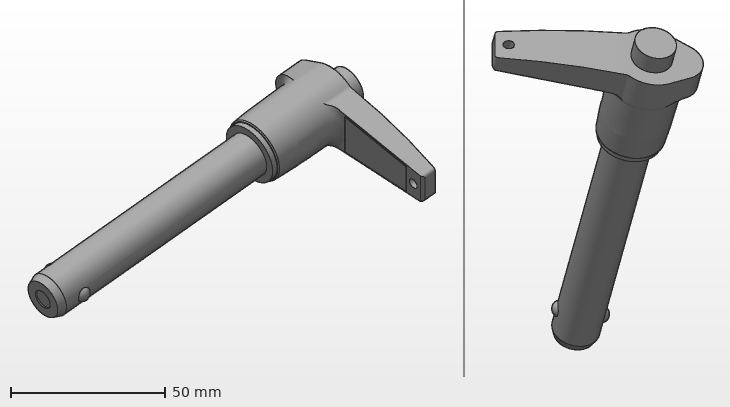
import cadquery as cq
import math


length = 139.0
button_height = 6.8
lever_thickness = 9.6
flare_height = 2.9
lever_back = length - button_height
lever_front = lever_back - lever_thickness
collar_back = lever_front - flare_height
collar_middle = 105.4
collar_front = 95.9
washer_front = 94.0

button_diameter = 13.8
shaft_diameter = 16.0
tip_diameter = 13.8
tip_chamfer_length = 2.9
spindle_diameter = 6.8
spindle_recess = 0.5
washer_diameter = 21.5
hub_radius = 12.3
collar_back_radius = 12.16
collar_middle_radius = 12.0
collar_front_radius = 11.5
collar_chamfer = 0.4
collar_bulge = 0.07
flare_radius = collar_back_radius + flare_height

ball_radius = 2.9
ball_span = 19.0
ball_station = 11.0

nose_radius = 7.8
nose_reach = 17.1
arm_reach = 51.2
arm_root_x = 7.0
arm_root_half_width = 9.52
arm_tip_half_width = 5.8
arm_root_fillet = 3.2
arm_corner_fillet = 1.3
arm_tip_chamfer = 1.1
arm_curve_start = 8.8
arm_curve_radius = 236.3
pad_start = 15.3
pad_end = 43.6
pad_margin = 0.5
pad_height = 0.35
keyring_hole_diameter = 3.6
keyring_hole_x = 46.7


def cylinder(diameter, start, end):
    """Cylinder on the pin axis between two Y stations."""
    return cq.Workplane("XZ", origin=(0, start, 0)).circle(diameter / 2).extrude(start - end)


def arm_half_width(x):
    """Half the width of the tapered arm at a place along it."""
    share = (x - arm_root_x) / (arm_reach - arm_root_x)
    return arm_root_half_width + share * (arm_tip_half_width - arm_root_half_width)


def arm_plate(start_x, end_x, margin, front, back):
    """Tapered plate that follows the arm sides, set in by a margin."""
    start_half = arm_half_width(start_x) - margin
    end_half = arm_half_width(end_x) - margin
    corners = [(start_x, -start_half), (end_x, -end_half), (end_x, end_half), (start_x, start_half)]
    return cq.Workplane("XZ", origin=(0, front, 0)).polyline(corners).close().extrude(front - back)


def hub_plate(front, back):
    """Round hub running tangentially into a smaller round nose."""
    nose_x = nose_radius - nose_reach
    tangent_cos = (hub_radius - nose_radius) / -nose_x
    tangent_sin = math.sqrt(1 - tangent_cos**2)
    hub_x = -hub_radius * tangent_cos
    hub_z = hub_radius * tangent_sin
    nose_tangent_x = nose_x - nose_radius * tangent_cos
    nose_tangent_z = nose_radius * tangent_sin
    return (
        cq.Workplane("XZ", origin=(0, front, 0))
        .moveTo(hub_x, hub_z)
        .threePointArc((hub_radius, 0), (hub_x, -hub_z))
        .lineTo(nose_tangent_x, -nose_tangent_z)
        .threePointArc((-nose_reach, 0), (nose_tangent_x, nose_tangent_z))
        .close()
        .extrude(front - back)
    )


def lever_blank():
    """Hub, nose and arm at full depth, with rounded arm corners."""
    arm = arm_plate(arm_root_x, arm_reach, 0, collar_back, lever_back)
    arm = arm.edges("|Y and >X").fillet(arm_corner_fillet)
    blank = hub_plate(collar_back, lever_back).union(arm)
    root_x = arm_root_x + arm_root_fillet
    root_edges = cq.selectors.BoxSelector(
        (arm_root_x, collar_back, -hub_radius), (root_x, lever_back, hub_radius)
    )
    return blank.edges("|Y").edges(root_edges).fillet(arm_root_fillet)


def depth_envelope():
    """Depth of the lever from its curved back to its flat front."""
    curve_run = arm_reach - arm_curve_start
    curve_drop = arm_curve_radius - math.sqrt(arm_curve_radius**2 - curve_run**2)
    middle_run = curve_run / 2
    middle_drop = arm_curve_radius - math.sqrt(arm_curve_radius**2 - middle_run**2)
    return (
        cq.Workplane("XY")
        .moveTo(-nose_reach, lever_front)
        .lineTo(arm_reach - arm_tip_chamfer, lever_front)
        .lineTo(arm_reach, lever_front + arm_tip_chamfer)
        .lineTo(arm_reach, lever_back - curve_drop)
        .threePointArc(
            (arm_curve_start + middle_run, lever_back - middle_drop),
            (arm_curve_start, lever_back),
        )
        .lineTo(-nose_reach, lever_back)
        .close()
        .extrude(hub_radius, both=True)
    )


def hub_flare():
    """Concave flare between the collar and the front of the lever."""
    bend = flare_height * math.sqrt(0.5)
    arc_middle = (flare_radius - bend, collar_back + bend)
    return (
        cq.Workplane("XY")
        .moveTo(0, collar_back)
        .lineTo(collar_back_radius, collar_back)
        .threePointArc(arc_middle, (flare_radius, lever_front))
        .lineTo(0, lever_front)
        .close()
        .revolve(360, (0, 0), (0, 1))
    )


def lever():
    blank = lever_blank()
    body = blank.intersect(depth_envelope()).union(blank.intersect(hub_flare()))
    body = body.union(arm_plate(pad_start, pad_end, pad_margin, lever_front - pad_height, lever_front))
    keyring_hole = cylinder(keyring_hole_diameter, 0, length).translate((keyring_hole_x, 0, 0))
    return body.cut(keyring_hole)


def collar():
    """Collar of two slightly barrelled bands, with a chamfered front rim."""
    return (
        cq.Workplane("XY")
        .moveTo(0, collar_front)
        .lineTo(collar_front_radius - collar_chamfer, collar_front)
        .lineTo(collar_front_radius, collar_front + collar_chamfer)
        .sagittaArc((collar_middle_radius, collar_middle), -collar_bulge)
        .sagittaArc((collar_back_radius, collar_back), -collar_bulge)
        .lineTo(0, collar_back)
        .close()
        .revolve(360, (0, 0), (0, 1))
    )


def shaft():
    """Shaft with a tapered tip, a recessed spindle end and two locking balls."""
    tip_step = (shaft_diameter - tip_diameter) / 2
    body = cylinder(shaft_diameter, 0, collar_front)
    body = body.faces("<Y").chamfer(tip_chamfer_length, tip_step)
    body = body.cut(cylinder(spindle_diameter, 0, spindle_recess))
    for side in (-1, 1):
        ball_x = side * (ball_span / 2 - ball_radius)
        body = body.union(cq.Workplane("XY").sphere(ball_radius).translate((ball_x, ball_station, 0)))
    return body


button = cylinder(button_diameter, lever_back, length)
washer = cylinder(washer_diameter, washer_front, collar_front)
result = shaft().union(washer).union(collar()).union(lever()).union(button)